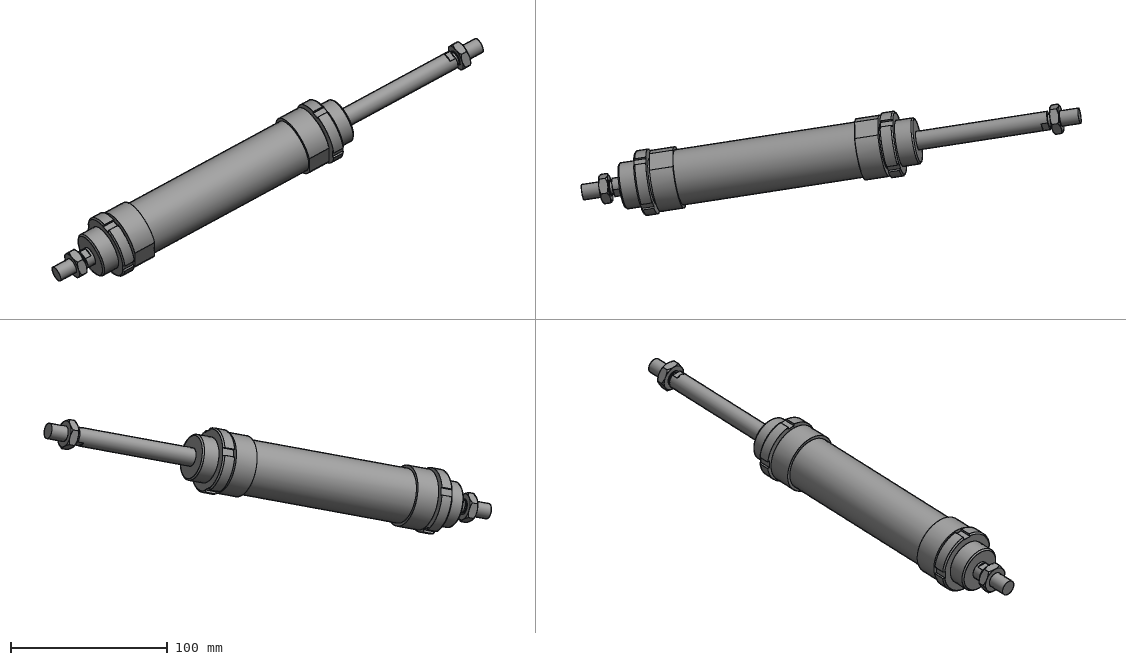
import cadquery as cq
import math

OVERALL_LENGTH = 325.0

ROD_DIA = 12.0
THREAD_DIA = 10.0
THREAD_LENGTH = 20.0
NECK_DIA = 8.0
NECK_LENGTH = 2.0
FLATS_WIDTH = 10.0
FLATS_LENGTH = 4.2

BODY_START = 26.0
BODY_END = 219.0
COLLAR_DIA = 30.0
COLLAR_LENGTH = 21.8
COLLAR_CHAMFER = 1.0
HEAD_DIA = 39.5
HEAD_LENGTH = 15.3
TUBE_DIA = 35.8
PORT_FLAT_X = 18.5

ROD_NUT_FLATS = 17.0
ROD_NUT_THICKNESS = 6.0
ROD_NUT_INSET = 12.0
ROD_NUT_FACE_DIA = ROD_NUT_FLATS
ROD_NUT_CHAMFER = 1.0

RING_DIA = 42.0
RING_THICKNESS = 8.0
RING_INSET = 11.7
RING_CHAMFER = 1.0
SLOT_WIDTH = 5.2
SLOT_DEPTH = 1.5
SLOT_COUNT = 4


def cylinder(diameter, start, length):
    """Cylinder on the Y axis from y = start toward +Y."""
    return cq.Workplane("XZ", origin=(0, start, 0)).circle(diameter / 2).extrude(-length)


def make_body():
    heads_start = BODY_START + COLLAR_LENGTH
    heads_end = BODY_END - COLLAR_LENGTH
    body = cylinder(COLLAR_DIA, BODY_START, BODY_END - BODY_START)
    body = body.faces("<Y or >Y").chamfer(COLLAR_CHAMFER)
    body = body.union(cylinder(TUBE_DIA, heads_start, heads_end - heads_start))
    for head_start in (heads_start, heads_end - HEAD_LENGTH):
        head = cylinder(HEAD_DIA, head_start, HEAD_LENGTH)
        flat = cq.Workplane("XY").box(HEAD_DIA, OVERALL_LENGTH, HEAD_DIA)
        flat = flat.translate((PORT_FLAT_X + HEAD_DIA / 2, OVERALL_LENGTH / 2, 0))
        body = body.union(head.cut(flat))
    return body.cut(cylinder(ROD_DIA, BODY_START, BODY_END - BODY_START))


def make_rod():
    shank_end = OVERALL_LENGTH - THREAD_LENGTH
    rod = cylinder(ROD_DIA, THREAD_LENGTH, shank_end - THREAD_LENGTH)
    for flats_start in (THREAD_LENGTH, shank_end - FLATS_LENGTH):
        flats_middle = flats_start + FLATS_LENGTH / 2
        for side in (-1, 1):
            cutter = cq.Workplane("XY").box(ROD_DIA, FLATS_LENGTH, ROD_DIA)
            cutter = cutter.translate((0, flats_middle, side * (FLATS_WIDTH + ROD_DIA) / 2))
            rod = rod.cut(cutter)
    stud_length = THREAD_LENGTH - NECK_LENGTH
    for stud_start, neck_start in ((0, stud_length), (OVERALL_LENGTH - stud_length, shank_end)):
        rod = rod.union(cylinder(THREAD_DIA, stud_start, stud_length))
        rod = rod.union(cylinder(NECK_DIA, neck_start, NECK_LENGTH))
    return rod


def make_rod_nut(start):
    """Hexagon nut with flats facing +Z and -Z and coned corners on both faces."""
    corner_dia = ROD_NUT_FLATS / math.cos(math.pi / 6)
    nut = cq.Workplane("XZ", origin=(0, start, 0)).polygon(6, corner_dia).extrude(-ROD_NUT_THICKNESS)
    cone_run = (corner_dia - ROD_NUT_FACE_DIA) / 2
    blank = cylinder(corner_dia, start, ROD_NUT_THICKNESS)
    blank = blank.faces("<Y or >Y").edges().chamfer(ROD_NUT_CHAMFER, cone_run)
    nut = nut.intersect(blank)
    return nut.cut(cylinder(THREAD_DIA, start, ROD_NUT_THICKNESS))


def make_ring_nut(start, outer_face):
    """Round nut with spanner slots, chamfered at the rim of its outer face."""
    ring = cylinder(RING_DIA, start, RING_THICKNESS)
    ring = ring.faces(outer_face).chamfer(RING_CHAMFER)
    for index in range(SLOT_COUNT):
        slot = cq.Workplane("XY").box(SLOT_WIDTH, RING_THICKNESS, 2 * SLOT_DEPTH)
        slot = slot.translate((0, start + RING_THICKNESS / 2, RING_DIA / 2))
        ring = ring.cut(slot.rotate((0, 0, 0), (0, 1, 0), index * 360 / SLOT_COUNT))
    return ring.cut(cylinder(COLLAR_DIA, start, RING_THICKNESS))


body = make_body()
rod = make_rod()
rod_nut_starts = (ROD_NUT_INSET, OVERALL_LENGTH - ROD_NUT_INSET - ROD_NUT_THICKNESS)
rod_nuts = [make_rod_nut(start) for start in rod_nut_starts]
ring_nut_places = (
    (BODY_START + RING_INSET, "<Y"),
    (BODY_END - RING_INSET - RING_THICKNESS, ">Y"),
)
ring_nuts = [make_ring_nut(start, outer_face) for start, outer_face in ring_nut_places]

bodies = [body, rod, *rod_nuts, *ring_nuts]
result = cq.Compound.makeCompound([item.val() for item in bodies])